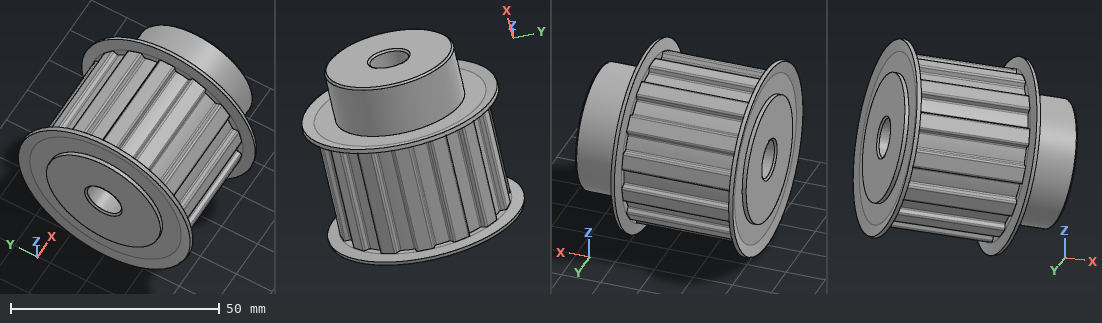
import cadquery as cq
import math

total_length = 43.9
outer_radius = 24.2
hub_radius = 15.9
hub_chamfer = 0.5
bore_radius = 4.75
bore_chamfer = 0.5

tooth_count = 14
tip_distance = 20.95
groove_depth = 1.5
groove_half_width = 1.95
groove_wall_angle = 24.0
root_fillet = 0.4
tip_fillet = 0.5
floor_radius = tip_distance - groove_depth
tooth_pitch_angle = 360.0 / tooth_count

rim_start = 2.05
rim_end = 29.95
flange_thickness = 1.0
flange_flat_radius = 21.2
flange_angle = 12.5

axis_start = (0, 0, 0)
axis_end = (1, 0, 0)


def revolve_about_axis(profile):
    """Solid of revolution about X from a list of (x, radius) points."""
    return cq.Workplane("XY").polyline(profile).close().revolve(360, axis_start, axis_end)


def make_groove_cutter(length, mouth_radius):
    """Groove facing -Y: sloping walls and a floor on the core cylinder."""
    wall_slope = math.tan(math.radians(groove_wall_angle))
    mouth_half_width = groove_half_width + (mouth_radius - floor_radius) * wall_slope
    floor_corner = math.sqrt(floor_radius**2 - groove_half_width**2)
    return (
        cq.Workplane("YZ")
        .moveTo(-mouth_radius, mouth_half_width)
        .lineTo(-floor_corner, groove_half_width)
        .threePointArc((-floor_radius, 0), (-floor_corner, -groove_half_width))
        .lineTo(-mouth_radius, -mouth_half_width)
        .close()
        .extrude(length)
    )


def lengthwise_edges(body, inner_radius, outer_limit):
    """Edges along X that lie between two distances from the axis."""
    selected = []
    for edge in body.edges("|X").vals():
        centre = edge.Center()
        if inner_radius < math.hypot(centre.y, centre.z) < outer_limit:
            selected.append(edge)
    return body.newObject(selected)


def make_toothed_rim():
    """Polygonal prism with one flat per tooth and a groove cut at every corner."""
    length = rim_end - rim_start
    corner_radius = tip_distance / math.cos(math.pi / tooth_count)
    mouth_radius = corner_radius + 0.5
    rim = cq.Workplane("YZ").polygon(tooth_count, 2 * corner_radius).extrude(length)
    groove = make_groove_cutter(length, mouth_radius)
    for index in range(tooth_count):
        rim = rim.cut(groove.rotate(axis_start, axis_end, index * tooth_pitch_angle))

    mid_depth_radius = floor_radius + groove_depth / 2
    rim = lengthwise_edges(rim, 0, mid_depth_radius).fillet(root_fillet)
    rim = lengthwise_edges(rim, tip_distance, mouth_radius).fillet(tip_fillet)
    return rim.translate((rim_start, 0, 0))


def make_flange(inner_x, outward):
    """Dished sheet with its flat tooth-side face at inner_x; outward is +1 or -1 along X."""
    angle = math.radians(flange_angle)
    lean = (outer_radius - flange_flat_radius) * math.tan(angle)
    edge_width = flange_thickness * math.cos(angle)
    edge_drop = flange_thickness * math.sin(angle)
    outer_flat_radius = flange_flat_radius - flange_thickness * math.tan(angle / 2)
    sheet = [
        (0, 0),
        (0, flange_flat_radius),
        (lean, outer_radius),
        (lean + edge_width, outer_radius - edge_drop),
        (flange_thickness, outer_flat_radius),
        (flange_thickness, 0),
    ]
    return revolve_about_axis([(inner_x + outward * offset, radius) for offset, radius in sheet])


def make_bore_cutter():
    """Through bore that flares into a chamfer at both ends."""
    mouth_radius = bore_radius + bore_chamfer
    return revolve_about_axis([
        (0, 0),
        (0, mouth_radius),
        (bore_chamfer, bore_radius),
        (total_length - bore_chamfer, bore_radius),
        (total_length, mouth_radius),
        (total_length, 0),
    ])


hub = cq.Workplane("YZ").circle(hub_radius).extrude(total_length).faces(">X").chamfer(hub_chamfer)

pulley = hub.union(make_toothed_rim())
pulley = pulley.union(make_flange(rim_start, -1))
pulley = pulley.union(make_flange(rim_end, 1))
result = pulley.cut(make_bore_cutter())